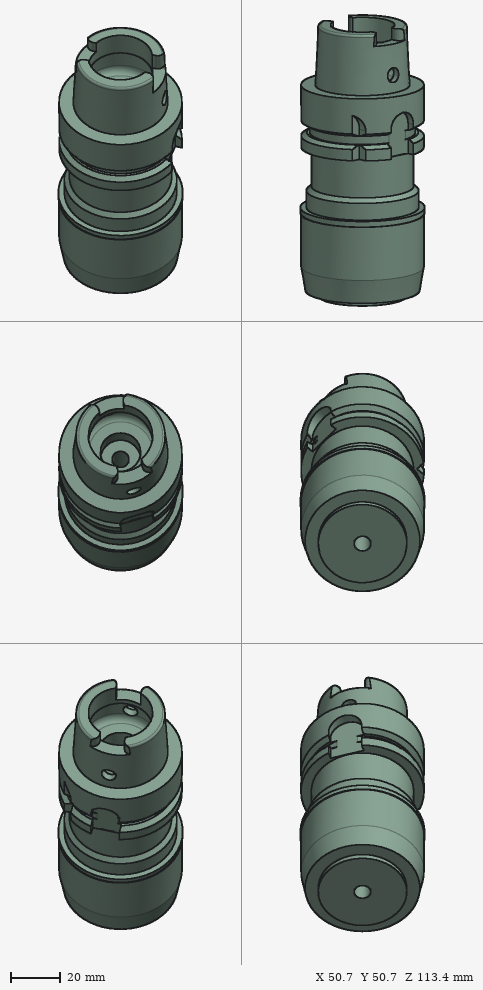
import cadquery as cq
import math

TOTAL_HEIGHT = 113.4

NOSE_RADIUS = 18.0
NOSE_TOP = 2.4
BODY_RADIUS = 25.1
BODY_TAPER_END_RADIUS = 23.4
BODY_TAPER_TOP = 12.5
BODY_TOP = 34.7
COLLAR_RADIUS = 25.35
COLLAR_TOP = 37.1
SHOULDER_RADIUS = 22.9
SHOULDER_TOP = 45.9
NECK_RADIUS = 20.9
SHOULDER_CHAMFER = 1.8

FLANGE_RADIUS = 25.1
FLANGE_BOTTOM = 62.4
FLANGE_TOP = 88.3
GROOVE_RADIUS = 21.5
GROOVE_MOUTH_RADIUS = 22.7
GROOVE_WIDTH = 3.7
GROOVE_CENTER_Z = 70.3
GROOVE_BEVEL_HEIGHT = (FLANGE_RADIUS - GROOVE_MOUTH_RADIUS) * math.tan(math.radians(30))

TAPER_BASE_RADIUS = 19.3
TAPER_TOP_RADIUS = 18.09
TAPER_EDGE_ROUND = 1.0
MOUTH_RADIUS = 13.0
MOUTH_DEPTH = 10.0
RECESS_RADIUS = 16.0
RECESS_FLOOR_ROUND = RECESS_RADIUS - MOUTH_RADIUS
SOCKET_DEPTH = 22.8
COUNTERBORE_RADIUS = 8.2
COUNTERBORE_DEPTH = 10.0
THROUGH_RADIUS = 3.4
CROSS_HOLE_RADIUS = 3.0
CROSS_HOLE_Z = 95.7

DRIVE_SLOT_HALF_WIDTH = 5.27
DRIVE_SLOT_ROUND = 3.0
DRIVE_SLOT_REACH = 16.27
LEFT_DRIVE_SLOT_DEPTH = 4.9
RIGHT_DRIVE_SLOT_DEPTH = 7.5

ARCH_CENTER_Z = 75.1
LEFT_ARCH_RADIUS = 6.0
RIGHT_ARCH_RADIUS = 7.0
ARCH_FLOOR_X = 21.1
NOTCH_CORNER = 15.71
NOTCH_ARCH_RADIUS = 7.0

CUT_MARGIN = 5.7
CUT_REACH = COLLAR_RADIUS + CUT_MARGIN


def revolve_profile(points):
    """Solid of revolution about Z from (radius, z) points that start and end on the axis."""
    return cq.Workplane("XZ").polyline(points).close().revolve(360, (0, 0, 0), (0, 1, 0))


def outer_body():
    groove_bottom = GROOVE_CENTER_Z - GROOVE_WIDTH / 2
    groove_top = GROOVE_CENTER_Z + GROOVE_WIDTH / 2
    body = revolve_profile([
        (0, 0),
        (NOSE_RADIUS, 0),
        (NOSE_RADIUS, NOSE_TOP),
        (BODY_TAPER_END_RADIUS, NOSE_TOP),
        (BODY_RADIUS, BODY_TAPER_TOP),
        (BODY_RADIUS, BODY_TOP),
        (COLLAR_RADIUS, BODY_TOP),
        (COLLAR_RADIUS, COLLAR_TOP),
        (SHOULDER_RADIUS, COLLAR_TOP),
        (SHOULDER_RADIUS, SHOULDER_TOP - SHOULDER_CHAMFER),
        (NECK_RADIUS, SHOULDER_TOP),
        (NECK_RADIUS, FLANGE_BOTTOM),
        (FLANGE_RADIUS, FLANGE_BOTTOM),
        (FLANGE_RADIUS, groove_bottom - GROOVE_BEVEL_HEIGHT),
        (GROOVE_MOUTH_RADIUS, groove_bottom),
        (GROOVE_RADIUS, groove_bottom),
        (GROOVE_RADIUS, groove_top),
        (GROOVE_MOUTH_RADIUS, groove_top),
        (FLANGE_RADIUS, groove_top + GROOVE_BEVEL_HEIGHT),
        (FLANGE_RADIUS, FLANGE_TOP),
        (TAPER_BASE_RADIUS, FLANGE_TOP),
        (TAPER_TOP_RADIUS, TOTAL_HEIGHT),
        (0, TOTAL_HEIGHT),
    ])
    return body.faces(">Z").edges().fillet(TAPER_EDGE_ROUND)


def stepped_bore():
    """Socket with a round-bottomed undercut recess, a counterbore in its floor and a through hole."""
    mouth_bottom = TOTAL_HEIGHT - MOUTH_DEPTH
    socket_floor = TOTAL_HEIGHT - SOCKET_DEPTH
    counterbore_floor = socket_floor - COUNTERBORE_DEPTH
    round_center_z = socket_floor + RECESS_FLOOR_ROUND
    round_offset = RECESS_FLOOR_ROUND * math.sin(math.radians(45))
    return (
        cq.Workplane("XZ")
        .moveTo(0, 0)
        .lineTo(THROUGH_RADIUS, 0)
        .lineTo(THROUGH_RADIUS, counterbore_floor)
        .lineTo(COUNTERBORE_RADIUS, counterbore_floor)
        .lineTo(COUNTERBORE_RADIUS, socket_floor)
        .lineTo(MOUTH_RADIUS, socket_floor)
        .threePointArc(
            (MOUTH_RADIUS + round_offset, round_center_z - round_offset),
            (RECESS_RADIUS, round_center_z),
        )
        .lineTo(RECESS_RADIUS, mouth_bottom)
        .lineTo(MOUTH_RADIUS, mouth_bottom)
        .lineTo(MOUTH_RADIUS, TOTAL_HEIGHT)
        .lineTo(0, TOTAL_HEIGHT)
        .close()
        .revolve(360, (0, 0, 0), (0, 1, 0))
    )


def cross_hole():
    return (
        cq.Workplane("YZ", origin=(-CUT_REACH, 0, 0))
        .center(0, CROSS_HOLE_Z)
        .circle(CROSS_HOLE_RADIUS)
        .extrude(2 * CUT_REACH)
    )


def drive_slot(side, depth):
    """Slot through the shank wall on the +X (side = 1) or -X (side = -1) half.

    Its walls run parallel to X and then flare outwards around the rounded drive lugs.
    """
    straight_end = DRIVE_SLOT_REACH - DRIVE_SLOT_ROUND
    flare_half_width = DRIVE_SLOT_HALF_WIDTH + DRIVE_SLOT_ROUND
    arc_x = straight_end + DRIVE_SLOT_ROUND * math.sin(math.radians(45))
    arc_y = flare_half_width - DRIVE_SLOT_ROUND * math.cos(math.radians(45))
    return (
        cq.Workplane("XY", origin=(0, 0, TOTAL_HEIGHT - depth))
        .moveTo(0, -DRIVE_SLOT_HALF_WIDTH)
        .lineTo(side * straight_end, -DRIVE_SLOT_HALF_WIDTH)
        .threePointArc((side * arc_x, -arc_y), (side * DRIVE_SLOT_REACH, -flare_half_width))
        .lineTo(side * DRIVE_SLOT_REACH, -CUT_REACH)
        .lineTo(side * CUT_REACH, -CUT_REACH)
        .lineTo(side * CUT_REACH, CUT_REACH)
        .lineTo(side * DRIVE_SLOT_REACH, CUT_REACH)
        .lineTo(side * DRIVE_SLOT_REACH, flare_half_width)
        .threePointArc((side * arc_x, arc_y), (side * straight_end, DRIVE_SLOT_HALF_WIDTH))
        .lineTo(0, DRIVE_SLOT_HALF_WIDTH)
        .close()
        .extrude(depth + CUT_MARGIN)
    )


def arched_slot(side, floor_x, center_y, radius):
    """Round-topped slot, open at the flange underside, cut along X down to floor_x."""
    return (
        cq.Workplane("YZ", origin=(side * floor_x, 0, 0))
        .moveTo(center_y - radius, FLANGE_BOTTOM)
        .lineTo(center_y - radius, ARCH_CENTER_Z)
        .threePointArc((center_y, ARCH_CENTER_Z + radius), (center_y + radius, ARCH_CENTER_Z))
        .lineTo(center_y + radius, FLANGE_BOTTOM)
        .close()
        .extrude(side * (CUT_REACH - floor_x))
    )


result = outer_body().cut(stepped_bore()).cut(cross_hole())
result = result.cut(drive_slot(-1, LEFT_DRIVE_SLOT_DEPTH))
result = result.cut(drive_slot(1, RIGHT_DRIVE_SLOT_DEPTH))
result = result.cut(arched_slot(-1, ARCH_FLOOR_X, 0, LEFT_ARCH_RADIUS))
result = result.cut(arched_slot(1, ARCH_FLOOR_X, 0, RIGHT_ARCH_RADIUS))
result = result.cut(arched_slot(-1, NOTCH_CORNER, NOTCH_CORNER + NOTCH_ARCH_RADIUS, NOTCH_ARCH_RADIUS))